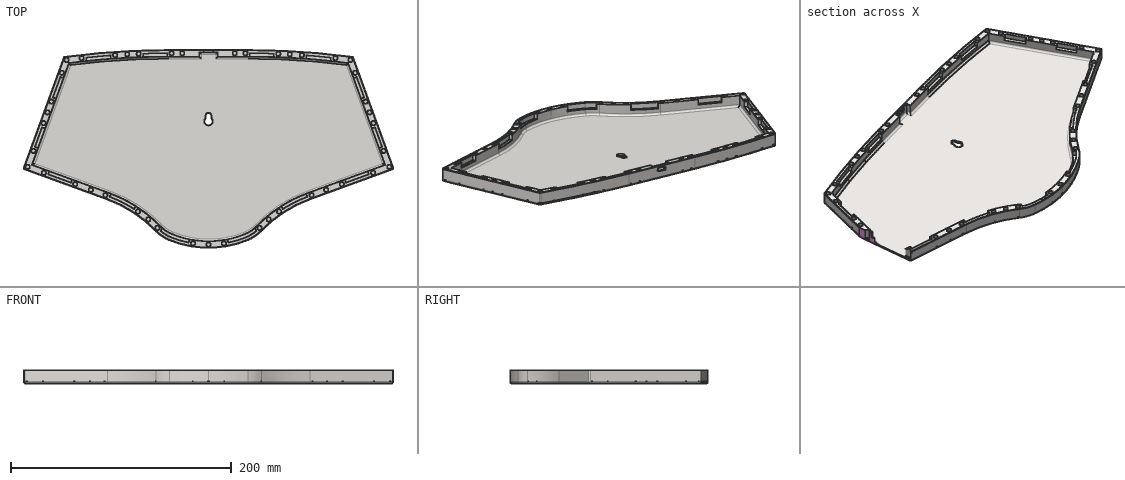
import cadquery as cq
import math

WIDTH = 335.0
DEPTH = 179.5
HEIGHT = 12.5

FLOOR = 2.0
WALL = 6.0
FOOT_FILLET = 2.0
BOTTOM_FILLET = 2.0
RIM_CHAMFER = 0.5
CORNER_RADIUS = 1.5

SIDE_TILT = 20.0
BELLY_RADIUS = 93.0
BELLY_ANGLE = 22.4
BEND_RADIUS = 37.0
BEND_ANGLE = 46.0
NECK_RADIUS = 116.5
SHOULDER_Y = 83.5
BACK_FLAT = 36.5

HOLE_DIAMETER = 4.0
FIRST_BACK_HOLE = 23.8
BACK_GAPS = (9.7, 29.8, 10.5, 11.0, 30.5, 13.7)
SIDE_GAPS = (12.5, 27.8, 10.5, 10.5, 26.8, 15.5)
FRONT_GAPS = (15.7, 30.0, 15.0, 14.0, 33.0, 11.7, 11.5, 35.8, 14.0)

POCKET_MIN_GAP = 25.0
POCKET_END_LAND = 4.0
POCKET_DEPTH = 5.0
POCKET_WALL = 3.0
POCKET_CUTTER_WIDTH = 17.0

NOTCH_WIDTH = 17.0
NOTCH_WALL = 2.0
NOTCH_LENGTH = 20.0
SLOT_WIDTH = 9.0
SLOT_HEIGHT = 3.5
SLOT_Z = 8.7

KEYHOLE_Y = 25.0
KEYHOLE_RADIUS = 3.7
KEYHOLE_SLOT_RADIUS = 2.5
KEYHOLE_RISE = 5.0

CLEARANCE = 3.5


def arc_end(start, radius, heading, new_heading):
    """Point reached by turning from one heading to another; a negative radius turns clockwise."""
    a = math.radians(heading)
    b = math.radians(new_heading)
    x = start[0] + radius * (math.sin(b) - math.sin(a))
    y = start[1] - radius * (math.cos(b) - math.cos(a))
    return (x, y)


def mirrored(point):
    return (-point[0], point[1])


belly_bottom = (0, -DEPTH / 2)
belly_mid = arc_end(belly_bottom, BELLY_RADIUS, 0, BELLY_ANGLE / 2)
belly_end = arc_end(belly_bottom, BELLY_RADIUS, 0, BELLY_ANGLE)
bend_mid = arc_end(belly_end, BEND_RADIUS, BELLY_ANGLE, (BELLY_ANGLE + BEND_ANGLE) / 2)
bend_end = arc_end(belly_end, BEND_RADIUS, BELLY_ANGLE, BEND_ANGLE)
neck_mid = arc_end(bend_end, -NECK_RADIUS, BEND_ANGLE, (BEND_ANGLE + SIDE_TILT) / 2)
neck_end = arc_end(bend_end, -NECK_RADIUS, BEND_ANGLE, SIDE_TILT)

tilt_slope = math.tan(math.radians(SIDE_TILT))
tip_rounding = CORNER_RADIUS * (math.sqrt(2) * math.cos(math.radians(45 - SIDE_TILT)) - 1)
tip_x = WIDTH / 2 + tip_rounding
tip = (tip_x, neck_end[1] + (tip_x - neck_end[0]) * tilt_slope)
shoulder = (tip_x - (SHOULDER_Y - tip[1]) * tilt_slope, SHOULDER_Y)

back_middle = (0, DEPTH / 2)
flat_end = (BACK_FLAT, DEPTH / 2)
back_run = shoulder[0] - flat_end[0]
back_drop = flat_end[1] - shoulder[1]
back_radius = (back_run**2 + back_drop**2) / (2 * back_drop)
back_half_turn = math.degrees(math.atan2(back_drop, back_run))
back_mid = arc_end(flat_end, -back_radius, 0, -back_half_turn)


def outline():
    """Closed outer outline with sharp corners, clockwise from the back middle."""
    return (
        cq.Workplane("XY")
        .moveTo(*back_middle)
        .lineTo(*flat_end)
        .threePointArc(back_mid, shoulder)
        .lineTo(*tip)
        .lineTo(*neck_end)
        .threePointArc(neck_mid, bend_end)
        .threePointArc(bend_mid, belly_end)
        .threePointArc(belly_mid, belly_bottom)
        .threePointArc(mirrored(belly_mid), mirrored(belly_end))
        .threePointArc(mirrored(bend_mid), mirrored(bend_end))
        .threePointArc(mirrored(neck_mid), mirrored(neck_end))
        .lineTo(*mirrored(tip))
        .lineTo(*mirrored(shoulder))
        .threePointArc(mirrored(back_mid), mirrored(flat_end))
        .close()
    )


def inset_outline(inset):
    return outline().offset2D(-inset, "intersection")


def block(profile, bottom, top):
    return profile.extrude(top - bottom).translate((0, 0, bottom))


def corner_edges(body):
    """Upright edges at the four sharp corners."""
    reach = CORNER_RADIUS / 2
    edges = []
    for x, y in (tip, shoulder, mirrored(tip), mirrored(shoulder)):
        low = (x - reach, y - reach, -CLEARANCE)
        high = (x + reach, y + reach, HEIGHT + CLEARANCE)
        edges += body.edges("|Z").edges(cq.selectors.BoxSelector(low, high)).vals()
    return body.newObject(edges)


def make_blank():
    body = block(outline(), 0, HEIGHT)
    body = corner_edges(body).fillet(CORNER_RADIUS)
    body = body.faces("<Z").edges().fillet(BOTTOM_FILLET)
    return body.faces(">Z").edges().chamfer(RIM_CHAMFER)


def make_cavity():
    """Inside of the tray with the back notch, rounded along the foot of the wall."""
    cavity = block(inset_outline(WALL), FLOOR, HEIGHT)
    notch_y = DEPTH / 2 - NOTCH_WALL - NOTCH_LENGTH
    notch = (
        cq.Workplane("XY")
        .box(NOTCH_WIDTH, NOTCH_LENGTH, HEIGHT - FLOOR, centered=(True, False, False))
        .translate((0, notch_y, FLOOR))
    )
    return cavity.union(notch).faces("<Z").edges().fillet(FOOT_FILLET)


rim_edges = inset_outline(WALL / 2).val().Edges()


def rim_point(distance):
    """Point on the middle of the wall, at a distance from the back middle."""
    for edge in rim_edges:
        if distance <= edge.Length():
            return edge.positionAt(distance / edge.Length())
        distance -= edge.Length()


def rim_hole(place):
    hole = cq.Workplane("XY").circle(HOLE_DIAMETER / 2).extrude(HEIGHT)
    return hole.translate((place.x, place.y, FLOOR))


pocket_region = block(inset_outline(POCKET_WALL), HEIGHT - POCKET_DEPTH, HEIGHT + CLEARANCE)


def rim_pocket(start, end, middle):
    """Pocket between two holes, open to the top and to the inside of the tray."""
    span = end - start
    angle = math.degrees(math.atan2(span.y, span.x))
    length = span.Length - 2 * POCKET_END_LAND
    cutter = (
        cq.Workplane("XY")
        .box(length, POCKET_CUTTER_WIDTH, 3 * HEIGHT)
        .rotate((0, 0, 0), (0, 0, 1), angle)
        .translate((middle.x, middle.y, 0))
    )
    return cutter.intersect(pocket_region)


def rim_cutters():
    """Holes and pockets of the right half of the rim."""
    distance = FIRST_BACK_HOLE
    place = rim_point(distance)
    cutters = [rim_hole(place)]
    for gap in BACK_GAPS + SIDE_GAPS + FRONT_GAPS:
        next_place = rim_point(distance + gap)
        if gap > POCKET_MIN_GAP:
            cutters.append(rim_pocket(place, next_place, rim_point(distance + gap / 2)))
        cutters.append(rim_hole(next_place))
        distance += gap
        place = next_place
    return cutters


def make_keyhole():
    slot_y = KEYHOLE_Y + KEYHOLE_RISE
    head = cq.Workplane("XY").center(0, KEYHOLE_Y).circle(KEYHOLE_RADIUS).extrude(HEIGHT)
    slot_end = cq.Workplane("XY").center(0, slot_y).circle(KEYHOLE_SLOT_RADIUS).extrude(HEIGHT)
    neck = (
        cq.Workplane("XY")
        .center(0, KEYHOLE_Y + KEYHOLE_RISE / 2)
        .rect(2 * KEYHOLE_SLOT_RADIUS, KEYHOLE_RISE)
        .extrude(HEIGHT)
    )
    return head.union(slot_end).union(neck)


def make_back_slot():
    return (
        cq.Workplane("XZ")
        .center(0, SLOT_Z)
        .slot2D(SLOT_WIDTH, SLOT_HEIGHT)
        .extrude(NOTCH_WALL + 2 * CLEARANCE)
        .translate((0, DEPTH / 2 + CLEARANCE, 0))
    )


tray = make_blank().cut(make_cavity())
for cutter in rim_cutters():
    tray = tray.cut(cutter)
    tray = tray.cut(cutter.mirror("YZ"))
result = tray.cut(make_keyhole()).cut(make_back_slot())